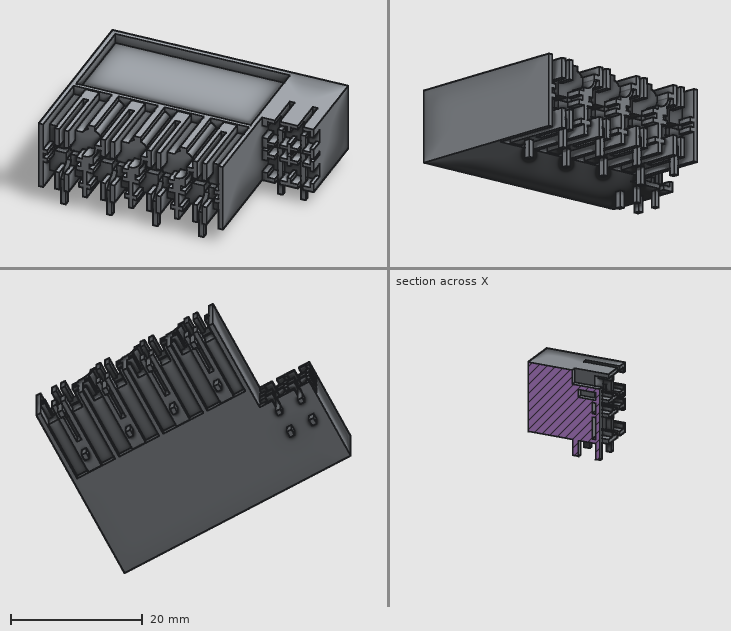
import cadquery as cq
import math

LENGTH = 39.07
DEPTH = 28.3
TOTAL_HEIGHT = 14.0
HEIGHT = 11.4
CONTACT_Z = 5.75
WALL = 0.75
POWER_LENGTH = 30.5
POWER_INNER_END = POWER_LENGTH - WALL
SIGNAL_FRONT = 15.0

TRAY_FRONT = 12.4
TRAY_RIM = 0.85
TRAY_DEPTH = 1.65

POWER_COUNT = 4
POWER_PITCH = 7.6
POWER_X = [POWER_LENGTH / 2 + (i - (POWER_COUNT - 1) / 2) * POWER_PITCH for i in range(POWER_COUNT)]
DIVIDER_X = [x + POWER_PITCH / 2 for x in POWER_X[:-1]]
FACE_Y = 2.55
GROOVE_BACK = 11.72
CORE_REACH = 4.15
SLEEVE_WIDTH = 2.25
SLEEVE_INNER_REACH = 2.4
SLEEVE_OUTER_REACH = 5.5
KEYWAY_HEIGHT = 0.75
KEYWAY_HALF = 2.23
KEYWAY_BACK = 6.7
SLOT_BACK = 9.2

CHANNEL_HALF = 2.4
RAIL_REACH = 1.15
RAIL_HALF = POWER_PITCH / 2 - CHANNEL_HALF
RAIL_WEB_HALF = 0.7
DIVIDER_WIDTH = 0.7
FOOT_WIDTH = 2.0
FOOT_TOP = CONTACT_Z - 3.35

CORE_Z = CONTACT_Z + 3.32
CORE_RADIUS = 1.68
TROUGH_OUTER_RADIUS = 2.1
TROUGH_LEFT = -0.43
RIB_WIDTH = 1.15

PIN_WIDTH = 0.8
PIN_DEPTH = 1.0
PIN_BOTTOM = HEIGHT - TOTAL_HEIGHT
PIN_FRONT = 0.55
PIN_TOP = CONTACT_Z - 1.6
PIN_BEND = 2.25
PIN_BEND_ANGLE = 45

SIGNAL_COUNT = 2
SIGNAL_FIRST_X = 33.05
SIGNAL_PITCH = POWER_PITCH / 2
SIGNAL_X = [SIGNAL_FIRST_X + i * SIGNAL_PITCH for i in range(SIGNAL_COUNT)]
SIGNAL_RECESS = 2.4
SIGNAL_CHANNEL_WIDTH = 3.2
SIGNAL_PIN_FRONT = 16.1
SIGNAL_PIN_TOP = CONTACT_Z + 3.35
SIGNAL_SLOT_BACK = 20.75
SIGNAL_ARM_BACK = SIGNAL_SLOT_BACK - PIN_DEPTH
SIGNAL_ROWS = [
    (-5.0, -4.22, -2.0, -1.5),
    (-0.85, -0.25, 0.25, 0.85),
    (1.4, 2.0, 4.2, 5.0),
]


def block(x_range, y_range, z_range):
    """Axis-aligned box between the given limits."""
    (x0, x1), (y0, y1), (z0, z1) = x_range, y_range, z_range
    return cq.Workplane("XY").box(x1 - x0, y1 - y0, z1 - z0, centered=False).translate((x0, y0, z0))


def around(center, width):
    """Limits of a width centred on a position."""
    return (center - width / 2, center + width / 2)


def along_y(outline, y_range):
    """Extrude an XZ outline between two Y limits."""
    return outline.extrude(y_range[0] - y_range[1]).translate((0, y_range[0], 0))


def housing():
    """L-shaped body with the tray and the upper and lower grooves cut out."""
    body = block((0, POWER_LENGTH), (FACE_Y, DEPTH), (0, HEIGHT))
    body = body.union(block((0, LENGTH), (SIGNAL_FRONT, DEPTH), (0, HEIGHT)))
    tray = block(
        (TRAY_RIM, POWER_INNER_END), (TRAY_FRONT, DEPTH - TRAY_RIM), (HEIGHT - TRAY_DEPTH, HEIGHT)
    )
    body = body.cut(tray)
    for z_range in ((0, CONTACT_Z - CORE_REACH), (CONTACT_Z + CORE_REACH, HEIGHT)):
        body = body.cut(block((WALL, POWER_INNER_END), (FACE_Y, GROOVE_BACK), z_range))
    return body


def end_walls():
    """Front stretch of the two outer power walls, each with a slotted rail."""
    walls = block((0, WALL), (0, FACE_Y), (0, HEIGHT))
    walls = walls.union(block((POWER_INNER_END, POWER_LENGTH), (0, FACE_Y), (0, HEIGHT)))
    left_rail = (WALL, POWER_X[0] - CHANNEL_HALF)
    right_rail = (POWER_X[-1] + CHANNEL_HALF, POWER_INNER_END)
    for x_range in (left_rail, right_rail):
        walls = walls.union(block(x_range, (0, FACE_Y), around(CONTACT_Z, 2 * RAIL_REACH)))
        walls = walls.cut(block(x_range, (0, FACE_Y), around(CONTACT_Z, KEYWAY_HEIGHT)))
    return walls


def sleeves(x):
    """Upper and lower sleeve, running the full length of the grooves."""
    pair = cq.Workplane("XY")
    for side in (-1, 1):
        z_range = sorted((CONTACT_Z + side * SLEEVE_INNER_REACH, CONTACT_Z + side * SLEEVE_OUTER_REACH))
        pair = pair.union(block(around(x, SLEEVE_WIDTH), (0, GROOVE_BACK), z_range))
    return pair


def trough_outline(x):
    """Trough with its bridge to the next sleeve, standing on the rail of a divider."""
    def below_center(radius, dx):
        return (x + dx, CORE_Z - math.sqrt(radius**2 - dx**2))

    bridge_top = CONTACT_Z + CORE_REACH
    bridge_end = x + POWER_PITCH / 2 - SLEEVE_WIDTH / 2
    return (
        cq.Workplane("XZ")
        .moveTo(x + TROUGH_LEFT, CONTACT_Z + RAIL_REACH)
        .lineTo(*below_center(CORE_RADIUS, TROUGH_LEFT))
        .threePointArc(below_center(CORE_RADIUS, CORE_RADIUS / 2), (x + CORE_RADIUS, CORE_Z))
        .lineTo(x + CORE_RADIUS, bridge_top)
        .lineTo(bridge_end, bridge_top)
        .lineTo(bridge_end, CORE_Z)
        .lineTo(x + TROUGH_OUTER_RADIUS, CORE_Z)
        .threePointArc(
            below_center(TROUGH_OUTER_RADIUS, (TROUGH_OUTER_RADIUS + RAIL_HALF) / 2),
            below_center(TROUGH_OUTER_RADIUS, RAIL_HALF),
        )
        .lineTo(x + RAIL_HALF, CONTACT_Z + RAIL_REACH)
        .close()
    )


def divider(x):
    """Slotted rail with its web, foot and trough, and the round core and rib behind it."""
    front = (0, FACE_Y)
    part = block(around(x, 2 * RAIL_HALF), front, around(CONTACT_Z, 2 * RAIL_REACH))
    for side in (-1, 1):
        x_range = sorted((x + side * RAIL_WEB_HALF, x + side * RAIL_HALF))
        part = part.cut(block(x_range, front, around(CONTACT_Z, KEYWAY_HEIGHT)))
    part = part.union(block(around(x, DIVIDER_WIDTH), front, (0, CONTACT_Z - RAIL_REACH)))
    part = part.union(block(around(x, DIVIDER_WIDTH), (0, GROOVE_BACK), (0, CONTACT_Z - CORE_REACH)))
    part = part.union(block(around(x, FOOT_WIDTH), front, (CONTACT_Z - CORE_REACH, FOOT_TOP)))
    part = part.union(along_y(trough_outline(x), front))
    core = cq.Workplane("XZ").center(x, CORE_Z).circle(CORE_RADIUS)
    part = part.union(along_y(core, (FACE_Y, GROOVE_BACK)))
    return part.union(block(around(x, RIB_WIDTH), (FACE_Y, GROOVE_BACK), (CORE_Z, HEIGHT)))


def power_slots(x):
    """Horizontal keyway, deeper right of the pin, and the vertical slot that holds the pin."""
    cuts = block(around(x, 2 * KEYWAY_HALF), (0, KEYWAY_BACK), around(CONTACT_Z, KEYWAY_HEIGHT))
    cuts = cuts.union(block(around(x, PIN_WIDTH), (0, KEYWAY_BACK), (0, HEIGHT)))
    right_side = (x + PIN_WIDTH / 2, x + KEYWAY_HALF)
    cuts = cuts.union(block(right_side, (0, SLOT_BACK), around(CONTACT_Z, KEYWAY_HEIGHT)))
    upper = (CONTACT_Z + KEYWAY_HEIGHT / 2, HEIGHT)
    return cuts.union(block(around(x, PIN_WIDTH), (0, SLOT_BACK), upper))


def power_pins(x):
    """Front pin bent down out of the slot, and a straight rear pin."""
    pin_back = PIN_FRONT + PIN_DEPTH
    bend_back = PIN_FRONT + PIN_BEND
    drop = PIN_DEPTH * math.tan(math.radians(PIN_BEND_ANGLE / 2))
    front = (
        cq.Workplane("YZ")
        .moveTo(PIN_FRONT, PIN_BOTTOM)
        .lineTo(PIN_FRONT, PIN_TOP - PIN_BEND)
        .lineTo(bend_back, PIN_TOP)
        .lineTo(KEYWAY_BACK, PIN_TOP)
        .lineTo(KEYWAY_BACK, PIN_TOP - PIN_DEPTH)
        .lineTo(bend_back + drop, PIN_TOP - PIN_DEPTH)
        .lineTo(pin_back, PIN_TOP - PIN_BEND - drop)
        .lineTo(pin_back, PIN_BOTTOM)
        .close()
        .extrude(PIN_WIDTH)
        .translate((x - PIN_WIDTH / 2, 0, 0))
    )
    rear = block(around(x, PIN_WIDTH), (SLOT_BACK - PIN_DEPTH, SLOT_BACK), (PIN_BOTTOM, CONTACT_Z))
    return front.union(rear)


def signal_recess():
    """Open rows across the signal front, each widened in height at every contact."""
    y_range = (SIGNAL_FRONT, SIGNAL_FRONT + SIGNAL_RECESS)
    cuts = cq.Workplane("XY")
    for channel_low, gap_low, gap_high, channel_high in SIGNAL_ROWS:
        gap_z = (CONTACT_Z + gap_low, CONTACT_Z + gap_high)
        cuts = cuts.union(block((POWER_LENGTH, LENGTH), y_range, gap_z))
        for x in SIGNAL_X:
            channel_z = (CONTACT_Z + channel_low, CONTACT_Z + channel_high)
            cuts = cuts.union(block(around(x, SIGNAL_CHANNEL_WIDTH), y_range, channel_z))
    return cuts


def signal_slot(x):
    """Slot through the whole front, deeper above the pin and around its arm in the top row."""
    slot = block(around(x, PIN_WIDTH), (SIGNAL_FRONT, SIGNAL_PIN_FRONT), (0, HEIGHT))
    top_row_floor = CONTACT_Z + SIGNAL_ROWS[-1][0]
    arm_space = ((SIGNAL_FRONT, SIGNAL_ARM_BACK), (top_row_floor, SIGNAL_PIN_TOP))
    slot = slot.union(block(around(x, PIN_WIDTH), *arm_space))
    upper = (SIGNAL_PIN_TOP, HEIGHT)
    return slot.union(block(around(x, PIN_WIDTH), (SIGNAL_FRONT, SIGNAL_SLOT_BACK), upper))


def signal_pins(x):
    """Front post joined to the housing by an arm at its top, and a straight rear pin."""
    front_y = (SIGNAL_PIN_FRONT, SIGNAL_PIN_FRONT + PIN_WIDTH)
    arm_y = (SIGNAL_PIN_FRONT, SIGNAL_ARM_BACK)
    arm_z = (SIGNAL_PIN_TOP - PIN_WIDTH, SIGNAL_PIN_TOP)
    rear_y = (SIGNAL_ARM_BACK, SIGNAL_SLOT_BACK)
    pins = block(around(x, PIN_WIDTH), front_y, (PIN_BOTTOM, SIGNAL_PIN_TOP))
    pins = pins.union(block(around(x, PIN_WIDTH), arm_y, arm_z))
    return pins.union(block(around(x, PIN_WIDTH), rear_y, (PIN_BOTTOM, CONTACT_Z)))


result = housing().union(end_walls()).cut(signal_recess())
for divider_x in DIVIDER_X:
    result = result.union(divider(divider_x))
for power_x in POWER_X:
    result = result.union(sleeves(power_x)).cut(power_slots(power_x)).union(power_pins(power_x))
for signal_x in SIGNAL_X:
    result = result.cut(signal_slot(signal_x)).union(signal_pins(signal_x))